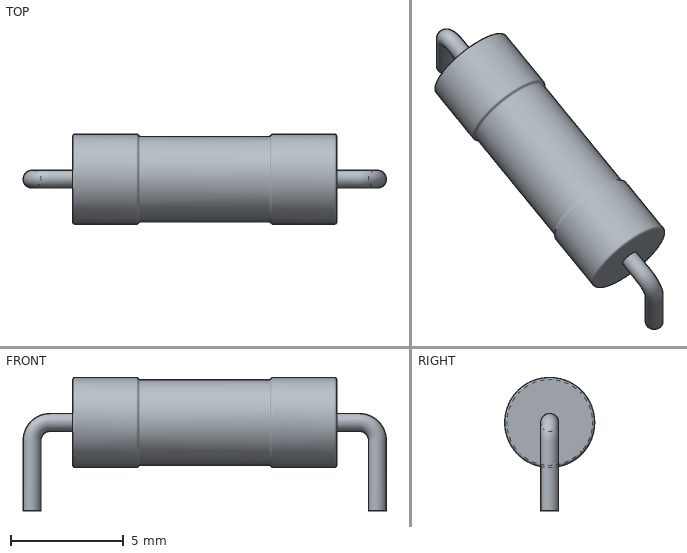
import cadquery as cq
import math

body_length = 11.7
body_diameter = 3.8
cap_diameter = 4.0
cap_length = 3.0
cap_edge_radius = 0.1
blend_radius = 0.1

lead_diameter = 0.8
lead_pitch = 15.3
lead_bend_radius = 0.8
lead_drop = 3.92

body_radius = body_diameter / 2
cap_radius = cap_diameter / 2
half_length = body_length / 2
cap_start = half_length - cap_length
bend_start = lead_pitch / 2 - lead_bend_radius

arc_rise = (cap_radius - body_radius) / 2
arc_run = math.sqrt(blend_radius**2 - (blend_radius - arc_rise) ** 2)


def make_body():
    """Turned body: a cap with a rounded outer rim and an S-shaped step at each end of the middle."""
    profile = (
        cq.Workplane("XY")
        .moveTo(-half_length, 0)
        .lineTo(-half_length, cap_radius - cap_edge_radius)
        .tangentArcPoint((cap_edge_radius, cap_edge_radius))
        .lineTo(-cap_start - 2 * arc_run, cap_radius)
        .tangentArcPoint((arc_run, -arc_rise))
        .tangentArcPoint((arc_run, -arc_rise))
        .lineTo(cap_start, body_radius)
        .tangentArcPoint((arc_run, arc_rise))
        .tangentArcPoint((arc_run, arc_rise))
        .lineTo(half_length - cap_edge_radius, cap_radius)
        .tangentArcPoint((cap_edge_radius, -cap_edge_radius))
        .lineTo(half_length, 0)
        .close()
    )
    return profile.revolve(360, (0, 0, 0), (1, 0, 0))


def make_lead():
    """Lead on the +X side: out of the body along X, then a round bend down to the lead end."""
    path = (
        cq.Workplane("XZ")
        .moveTo(cap_start, 0)
        .lineTo(bend_start, 0)
        .tangentArcPoint((lead_bend_radius, -lead_bend_radius))
        .lineTo(lead_pitch / 2, -lead_drop)
    )
    return cq.Workplane("YZ", origin=(cap_start, 0, 0)).circle(lead_diameter / 2).sweep(path)


lead = make_lead()
result = make_body().union(lead).union(lead.mirror("YZ"))